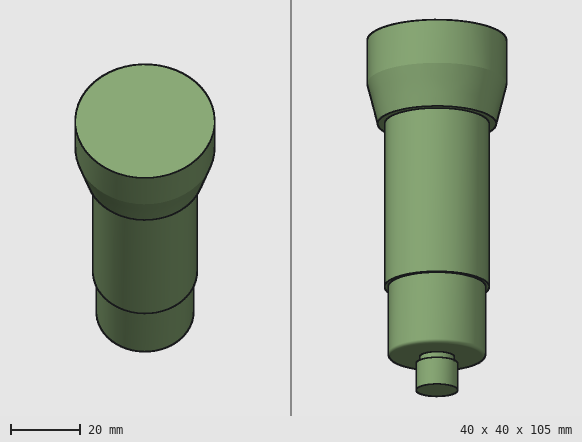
import cadquery as cq

tip_diameter = 12.0
neck_diameter = 10.0
lower_body_diameter = 28.0
main_body_diameter = 30.0
flare_base_diameter = 34.0
head_diameter = 40.0

tip_top = 8.0
neck_top = 10.0
lower_body_top = 31.0
main_body_top = 80.0
flare_top = 92.0
head_top = 105.0

lower_body_edge_radius = 1.0


def cylinder(diameter, bottom, top):
    """Upright cylinder on the Z axis between two heights."""
    return cq.Workplane("XY").workplane(offset=bottom).circle(diameter / 2).extrude(top - bottom)


def lower_body():
    """Lower body with a rounded bottom edge."""
    body = cylinder(lower_body_diameter, neck_top, lower_body_top)
    return body.faces("<Z").edges().fillet(lower_body_edge_radius)


def flare():
    """Cone that widens from the underside of the head to the head diameter."""
    return (
        cq.Workplane("XY")
        .workplane(offset=main_body_top)
        .circle(flare_base_diameter / 2)
        .workplane(offset=flare_top - main_body_top)
        .circle(head_diameter / 2)
        .loft(ruled=True)
    )


result = (
    cylinder(tip_diameter, 0, tip_top)
    .union(cylinder(neck_diameter, tip_top, neck_top))
    .union(lower_body())
    .union(cylinder(main_body_diameter, lower_body_top, main_body_top))
    .union(flare())
    .union(cylinder(head_diameter, flare_top, head_top))
)